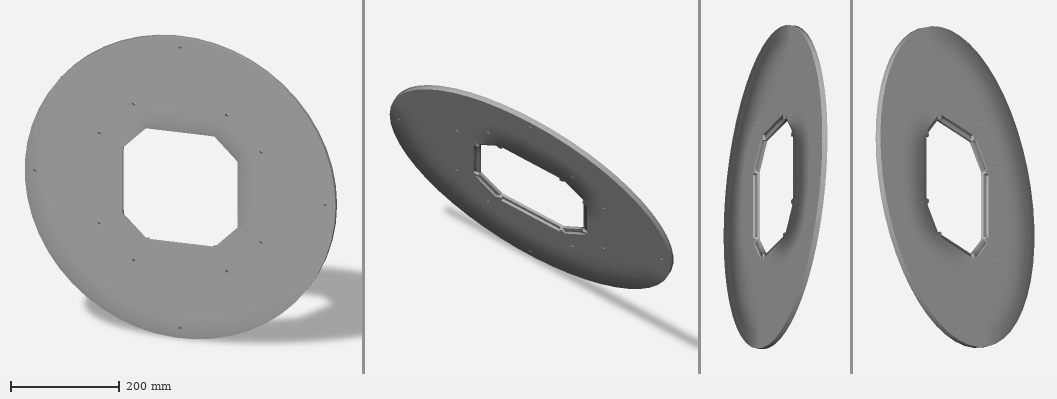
import cadquery as cq
import math

DISC_DIAMETER = 600.0
THICKNESS = 10.0
BACK_Y = THICKNESS / 2

OPENING_WIDTH = 222.0
OPENING_CORNER_CUT = 45.0
SIDE_DISTANCE = OPENING_WIDTH / 2
CORNER_DISTANCE = (OPENING_WIDTH - OPENING_CORNER_CUT) / math.sqrt(2)

POCKET_DEPTH = THICKNESS / 2
POCKET_REACH = 10.0
SIDE_POCKET_LENGTH = 124.0
CORNER_POCKET_LENGTH = 62.0
SIDE_PAIR_ANGLES = (0, 90)
CORNER_PAIR_ANGLES = (45, 135)

HOLE_DIAMETER = 6.1
HOLES_PER_SET = 4
RIM_HOLE_RADIUS = 280.0
RIM_HOLE_START_ANGLE = 0
INNER_HOLE_RADIUS = 180.0
INNER_HOLE_START_ANGLES = (30, 60)


def back_plane():
    """Workplane on the back (+Y) face; extruding from it runs forward, toward -Y."""
    return cq.Workplane("XZ", origin=(0, BACK_Y, 0))


def make_disc():
    """Plain round plate."""
    return back_plane().circle(DISC_DIAMETER / 2).extrude(THICKNESS)


def make_opening():
    """Eight-sided prism that cuts the opening."""
    square = back_plane().rect(OPENING_WIDTH, OPENING_WIDTH).extrude(THICKNESS)
    return square.edges("|Y").chamfer(OPENING_CORNER_CUT)


def make_pocket_pair(edge_distance, length, angle):
    """Bar across the opening that cuts the pockets behind two opposite edges."""
    span = 2 * (edge_distance + POCKET_REACH)
    bar = back_plane().rect(span, length).extrude(POCKET_DEPTH)
    return bar.rotate((0, 0, 0), (0, 1, 0), angle)


def make_hole_set(circle_radius, start_angle):
    """Evenly spaced drill cylinders on a circle about the disc axis."""
    centres = back_plane().polarArray(circle_radius, start_angle, 360, HOLES_PER_SET)
    return centres.circle(HOLE_DIAMETER / 2).extrude(THICKNESS)


result = make_disc().cut(make_opening())

for pair_angle in SIDE_PAIR_ANGLES:
    result = result.cut(make_pocket_pair(SIDE_DISTANCE, SIDE_POCKET_LENGTH, pair_angle))
for pair_angle in CORNER_PAIR_ANGLES:
    result = result.cut(make_pocket_pair(CORNER_DISTANCE, CORNER_POCKET_LENGTH, pair_angle))

result = result.cut(make_hole_set(RIM_HOLE_RADIUS, RIM_HOLE_START_ANGLE))
for hole_angle in INNER_HOLE_START_ANGLES:
    result = result.cut(make_hole_set(INNER_HOLE_RADIUS, hole_angle))